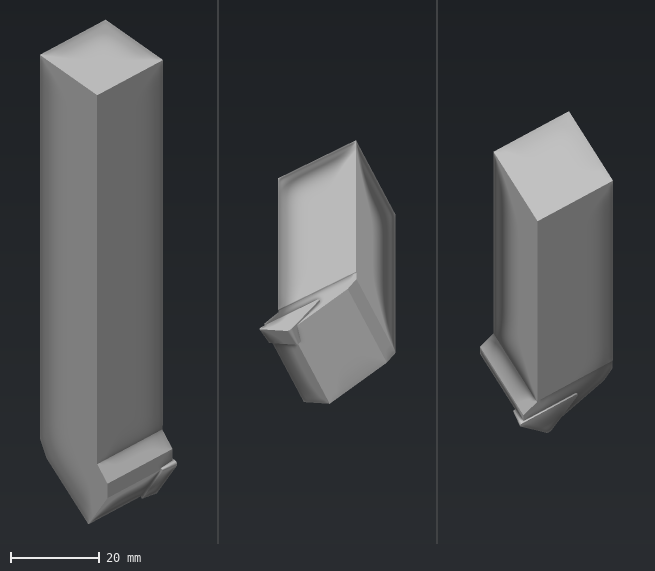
import cadquery as cq
import math

overall_width = 24.56
overall_depth = 20.0
overall_length = 126.35

inscribed_diameter = 9.525
inscribed_radius = inscribed_diameter / 2
corner_half_angle = math.radians(30)
insert_thickness = 3.97
nose_radius = 0.8
clearance_angle = 7.0
nose_center_distance = 2 * (inscribed_radius - nose_radius)
insert_center_x = overall_width - nose_radius - nose_center_distance * math.cos(corner_half_angle)
insert_center_z = nose_center_distance + nose_radius

shank_width = 19.85
head_relief = 0.25
relief_top_z = 21.3
shoulder_z = 20.25
head_width = 23.4
front_edge_inset = 1.05
front_edge_slope = math.tan(math.radians(60))
head_tip_z = 1.15
heel_x = 2.25
heel_z = 11.75
heel_top_z = 16.2


def build_insert():
    """Downward triangle with rounded corners, tapering from the cutting face to the seat."""
    circumradius = inscribed_diameter
    corners = []
    for angle in (-90, 30, 150):
        corner_x = insert_center_x + circumradius * math.cos(math.radians(angle))
        corner_z = insert_center_z + circumradius * math.sin(math.radians(angle))
        corners.append((corner_x, corner_z))
    outline = cq.Sketch().polygon(corners + corners[:1]).vertices().fillet(nose_radius)
    face = cq.Workplane("XZ", origin=(0, overall_depth, 0))
    return face.placeSketch(outline).extrude(insert_thickness, taper=clearance_angle)


def front_edge_x(z):
    """X of the slanted head edge, parallel to the cutting edge, at height z."""
    edge_offset = inscribed_radius - front_edge_inset
    foot_x = insert_center_x + edge_offset * math.cos(corner_half_angle)
    foot_z = insert_center_z - edge_offset * math.sin(corner_half_angle)
    return foot_x + (z - foot_z) / front_edge_slope


def build_holder(seated_insert):
    """Shank and head in one outline, with a seat cut to the shape of the insert."""
    head_corner_z = shoulder_z - (head_width - shank_width)
    front_corner_z = head_tip_z + (head_width - front_edge_x(head_tip_z)) * front_edge_slope
    outline = [
        (0, overall_length),
        (shank_width, overall_length),
        (shank_width, shoulder_z),
        (head_width, head_corner_z),
        (head_width, front_corner_z),
        (front_edge_x(head_tip_z), head_tip_z),
        (heel_x, heel_z),
        (0, heel_top_z),
    ]
    body = cq.Workplane("XZ").polyline(outline).close().extrude(-shank_width)
    relief = (
        cq.Workplane("XY", origin=(0, shank_width - head_relief, 0))
        .box(overall_width, head_relief, relief_top_z, centered=False)
    )
    return body.cut(relief).cut(seated_insert)


insert = build_insert()
holder = build_holder(insert)

result = cq.Compound.makeCompound([holder.val(), insert.val()])